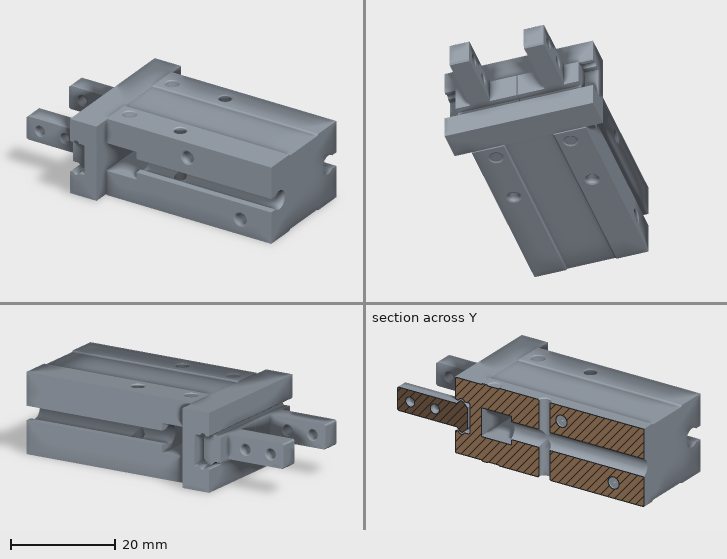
import cadquery as cq
import math


total_length = 57.0
body_width = 23.0
body_height = 16.5
body_front_x = 19.45
channel_width = 9.6
channel_depth = 0.3
channel_wall_run = 0.35

rail_front_x = 13.4
rail_width = 30.0
rail_height = 16.0
track_depth = 3.3
track_height = 6.45
track_chamfer = 0.15
race_diameter = 1.35
race_z = 3.0

window_length = 6.85
window_height = 6.0
groove_mouth = 2.9
groove_diameter = 4.0
groove_lip = 1.5
groove_center_y = body_width / 2 - groove_lip - ((groove_diameter / 2) ** 2 - (groove_mouth / 2) ** 2) ** 0.5

hole_diameter = 2.45
hole_rim_diameter = 3.0
countersink_angle = 120.0
mount_x = 34.0
mount_y = 7.9
recess_x = 22.2
port_places = [(37.9, 4.95), (49.95, -4.95)]
port_depth = 4.0
orifice_diameter = 0.5
orifice_depth = 1.7

jaw_center_y = 7.5
arm_width = 4.0
arm_height = 5.0
tip_chamfer = 0.3
slide_front_x = 12.4
slide_back_x = 16.25
slide_outer_y = 12.4
jaw_gap = 0.15
ridge_x = 14.8
ridge_z = 3.6
ridge_tip_width = 0.45
jaw_hole_places = [2.95, 8.65]
jaw_hole_diameter = 2.0
jaw_hole_rim_diameter = 2.45


def block(x_start, x_end, width, height):
    """Box between two X positions, centred on Y = 0 and Z = 0."""
    return cq.Workplane("XY").box(x_end - x_start, width, height).translate(((x_start + x_end) / 2, 0, 0))


def countersink(plane, diameter, rim_diameter):
    """Cone that widens a hole to its rim; the plane points into the material."""
    depth = (rim_diameter - diameter) / 2 / math.tan(math.radians(countersink_angle / 2))
    cone = cq.Solid.makeCone(rim_diameter / 2, diameter / 2, depth, plane.origin, plane.zDir)
    return cq.Workplane(obj=cone)


def body():
    """Main block with a shallow sloped channel along its top and bottom faces."""
    shape = block(body_front_x, total_length, body_width, body_height)
    top = body_height / 2
    floor = top - channel_depth
    half_floor = channel_width / 2
    half_mouth = half_floor + channel_wall_run
    channel = (
        cq.Workplane("YZ", origin=(body_front_x, 0, 0))
        .polyline([(-half_mouth, top), (-half_floor, floor), (half_floor, floor), (half_mouth, top)])
        .close()
        .extrude(total_length - body_front_x)
    )
    return shape.cut(channel).cut(channel.mirror("XY"))


def rail():
    """Cross rail with the open track in which the jaws slide."""
    shape = block(rail_front_x, body_front_x, rail_width, rail_height)
    front = rail_front_x
    back = rail_front_x + track_depth
    half_height = track_height / 2
    upper = [
        (front, half_height + track_chamfer),
        (front + track_chamfer, half_height),
        (back - track_chamfer, half_height),
        (back, half_height - track_chamfer),
    ]
    lower = [(x, -z) for x, z in reversed(upper)]
    track = (
        cq.Workplane("XZ", origin=(0, rail_width / 2, 0))
        .polyline(upper + lower)
        .close()
        .extrude(rail_width)
    )
    shape = shape.cut(track)
    races = (
        cq.Workplane("XZ", origin=(0, rail_width / 2, 0))
        .pushPoints([(ridge_x, race_z), (ridge_x, -race_z)])
        .circle(race_diameter / 2)
        .extrude(rail_width)
    )
    return shape.cut(races)


def side_groove(side):
    """Keyhole groove along one side of the body; side is 1 for +Y and -1 for -Y."""
    window_back_x = body_front_x + window_length
    length = total_length - window_back_x
    mouth_depth = body_width / 2 - groove_center_y
    profile = cq.Workplane("YZ", origin=(window_back_x, side * groove_center_y, 0))
    round_bottom = profile.circle(groove_diameter / 2).extrude(length)
    mouth = profile.center(side * mouth_depth / 2, 0).rect(mouth_depth, groove_mouth).extrude(length)
    return round_bottom.union(mouth)


def cut_mounting_holes(shape):
    """Through holes along Z with a countersink at both ends."""
    for y in (mount_y, -mount_y):
        for side in (1, -1):
            plane = cq.Plane((mount_x, y, side * body_height / 2), (1, 0, 0), (0, 0, -side))
            shape = shape.cut(cq.Workplane(plane).circle(hole_diameter / 2).extrude(body_height / 2))
            shape = shape.cut(countersink(plane, hole_diameter, hole_rim_diameter))
    return shape


def cut_recesses(shape):
    """Shallow conical recesses with flat floors in the top and bottom pads, just behind the rail."""
    for y in (jaw_center_y, -jaw_center_y):
        for side in (1, -1):
            plane = cq.Plane((recess_x, y, side * body_height / 2), (1, 0, 0), (0, 0, -side))
            shape = shape.cut(countersink(plane, hole_diameter, hole_rim_diameter))
    return shape


def cut_ports(shape):
    """Blind ports in the -Y side, each with a small orifice in its floor."""
    orifice_reach = port_depth + orifice_depth
    for x, z in port_places:
        plane = cq.Plane((x, -body_width / 2, z), (1, 0, 0), (0, 1, 0))
        shape = shape.cut(cq.Workplane(plane).circle(hole_diameter / 2).extrude(port_depth))
        shape = shape.cut(cq.Workplane(plane).circle(orifice_diameter / 2).extrude(orifice_reach))
        shape = shape.cut(countersink(plane, hole_diameter, hole_rim_diameter))
    return shape


def make_housing():
    shape = body().union(rail())
    shape = shape.cut(block(body_front_x, body_front_x + window_length, body_width, window_height))
    for side in (1, -1):
        shape = shape.cut(side_groove(side))
    shape = cut_mounting_holes(shape)
    shape = cut_recesses(shape)
    return cut_ports(shape)


def jaw_arm(side):
    """Bar that reaches forward from the slide, with chamfered tip and cross holes."""
    shape = block(0, slide_front_x, arm_width, arm_height)
    shape = shape.faces("<X").edges("|Y").chamfer(tip_chamfer)
    for x in jaw_hole_places:
        for face in (1, -1):
            plane = cq.Plane((x, face * arm_width / 2, 0), (1, 0, 0), (0, -face, 0))
            shape = shape.cut(cq.Workplane(plane).circle(jaw_hole_diameter / 2).extrude(arm_width / 2))
            shape = shape.cut(countersink(plane, jaw_hole_diameter, jaw_hole_rim_diameter))
    return shape.translate((0, side * jaw_center_y, 0))


def jaw_slide(side):
    """Sliding base whose 45-degree ridges run in the track of the rail."""
    half_height = arm_height / 2
    front_ramp_x = ridge_x - (ridge_z - half_height)
    back_z = ridge_z - (slide_back_x - ridge_x)
    half_tip = ridge_tip_width / 2
    tip_z = ridge_z - half_tip
    upper = [
        (slide_front_x, half_height),
        (front_ramp_x, half_height),
        (ridge_x - half_tip, tip_z),
        (ridge_x + half_tip, tip_z),
        (slide_back_x, back_z),
    ]
    lower = [(x, -z) for x, z in reversed(upper)]
    inner_y = jaw_gap / 2
    start_y = slide_outer_y if side > 0 else -inner_y
    return (
        cq.Workplane("XZ", origin=(0, start_y, 0))
        .polyline(upper + lower)
        .close()
        .extrude(slide_outer_y - inner_y)
    )


def make_jaw(side):
    return jaw_slide(side).union(jaw_arm(side))


housing = make_housing()
jaws = [make_jaw(side) for side in (1, -1)]

result = cq.Compound.makeCompound([housing.val(), *[jaw.val() for jaw in jaws]])